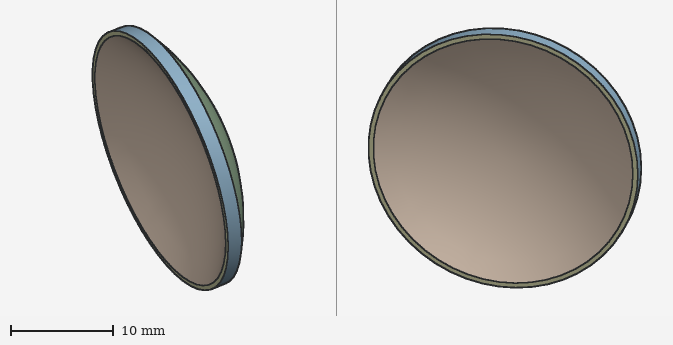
import cadquery as cq
import math

outer_diameter = 26.9
total_depth = 6.0
wall_thickness = 1.5
rim_face_width = 0.5

outer_radius = outer_diameter / 2
cavity_radius = outer_radius - rim_face_width
cap_rise = total_depth - wall_thickness


def arc_midpoint(base_radius, base_y):
    """Point on a spherical cap at half its base radius, as (radius, y)."""
    sphere_radius = (base_radius**2 + cap_rise**2) / (2 * cap_rise)
    center_y = base_y + cap_rise - sphere_radius
    mid_radius = base_radius / 2
    return mid_radius, center_y + math.sqrt(sphere_radius**2 - mid_radius**2)


def make_cap():
    """Revolve the half section of the cap around the Y axis."""
    return (
        cq.Workplane("XY")
        .moveTo(cavity_radius, 0)
        .lineTo(outer_radius, 0)
        .lineTo(outer_radius, wall_thickness)
        .threePointArc(arc_midpoint(outer_radius, wall_thickness), (0, total_depth))
        .lineTo(0, cap_rise)
        .threePointArc(arc_midpoint(cavity_radius, 0), (cavity_radius, 0))
        .close()
        .revolve(360, (0, 0, 0), (0, 1, 0))
    )


cap = make_cap()

result = cq.Compound.makeCompound([cap.val()])